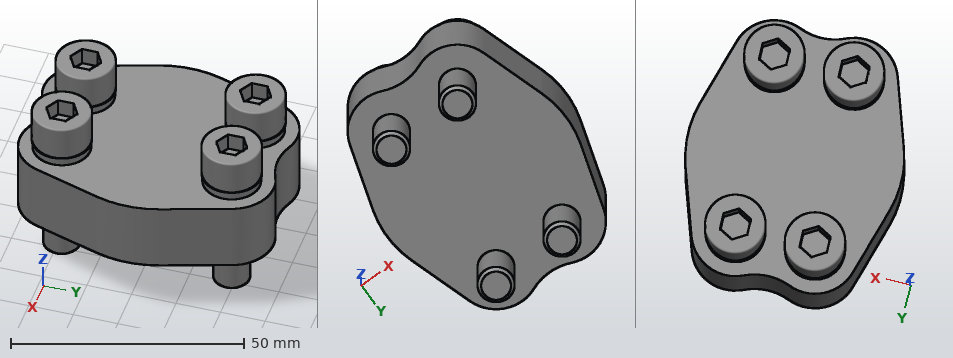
import cadquery as cq
import math

screw_spacing_x = 17.5
screw_spacing_y = 38.1

plate_thickness = 16.0
overall_length = 56.94
side_radius = 23.5
lobe_radius = (overall_length - screw_spacing_y) / 2
waist_radius = 12.5
lobe_x = screw_spacing_x / 2
lobe_y = screw_spacing_y / 2

washer_diameter = 12.7
washer_thickness = 2.0
head_diameter = 13.0
head_height = 8.0
head_rounding = 0.4
socket_across_flats = 6.0
socket_depth = 4.0
shank_diameter = 8.0
shank_projection = 12.0
shank_chamfer = 0.8


def polar(center, radius, angle):
    """Point on a circle at the given angle in radians."""
    return (center[0] + radius * math.cos(angle), center[1] + radius * math.sin(angle))


def make_plate():
    """Closed plate outline of tangent arcs and lines, extruded upwards from Z = 0."""
    origin = (0.0, 0.0)
    lobe = (lobe_x, lobe_y)

    lobe_distance = math.hypot(*lobe)
    lobe_direction = math.atan2(lobe_y, lobe_x)
    flank_angle = lobe_direction - math.acos((side_radius - lobe_radius) / lobe_distance)

    waist_angle = math.acos(-lobe_x / (lobe_radius + waist_radius))
    waist_center_y = lobe_y + (lobe_radius + waist_radius) * math.sin(waist_angle)
    waist_bottom = waist_center_y - waist_radius

    side_end = polar(origin, side_radius, flank_angle)
    lobe_start = polar(lobe, lobe_radius, flank_angle)
    lobe_middle = polar(lobe, lobe_radius, (flank_angle + waist_angle) / 2)
    lobe_end = polar(lobe, lobe_radius, waist_angle)

    def mirrored(point, sign_x, sign_y):
        return (sign_x * point[0], sign_y * point[1])

    outline = cq.Workplane("XY").moveTo(*mirrored(side_end, 1, -1))
    for side in (1, -1):
        outline = (
            outline.threePointArc((side * side_radius, 0), mirrored(side_end, side, side))
            .lineTo(*mirrored(lobe_start, side, side))
            .threePointArc(mirrored(lobe_middle, side, side), mirrored(lobe_end, side, side))
            .threePointArc((0, side * waist_bottom), mirrored(lobe_end, -side, side))
            .threePointArc(mirrored(lobe_middle, -side, side), mirrored(lobe_start, -side, side))
            .lineTo(*mirrored(side_end, -side, side))
        )
    return outline.close().extrude(plate_thickness)


def make_screw():
    """Socket head screw with its washer, on the Z axis, running through the plate."""
    head_bottom = plate_thickness + washer_thickness
    shank_length = shank_projection + head_bottom
    socket_corner_diameter = socket_across_flats / math.cos(math.pi / 6)

    shank = (
        cq.Workplane("XY", origin=(0, 0, -shank_projection))
        .circle(shank_diameter / 2)
        .extrude(shank_length)
        .faces("<Z")
        .chamfer(shank_chamfer)
    )
    washer = (
        cq.Workplane("XY", origin=(0, 0, plate_thickness))
        .circle(washer_diameter / 2)
        .extrude(washer_thickness)
    )
    head = (
        cq.Workplane("XY", origin=(0, 0, head_bottom))
        .circle(head_diameter / 2)
        .extrude(head_height)
        .faces(">Z")
        .fillet(head_rounding)
    )
    socket = (
        cq.Workplane("XY", origin=(0, 0, head_bottom + head_height - socket_depth))
        .transformed(rotate=(0, 0, 90))
        .polygon(6, socket_corner_diameter)
        .extrude(socket_depth)
    )
    return shank.union(washer).union(head).cut(socket)


result = make_plate()
screw = make_screw()
for x in (-screw_spacing_x / 2, screw_spacing_x / 2):
    for y in (-screw_spacing_y / 2, screw_spacing_y / 2):
        result = result.union(screw.translate((x, y, 0)))